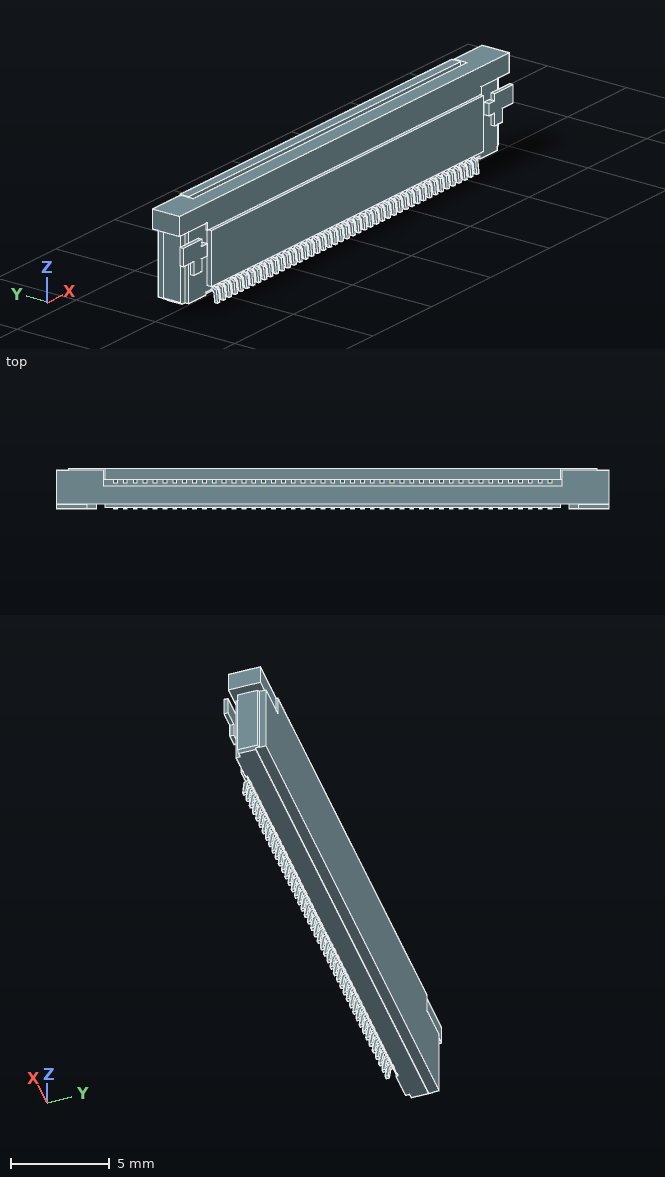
import cadquery as cq

TOTAL_LENGTH = 28.0
TOTAL_DEPTH = 2.05
TOTAL_HEIGHT = 5.6

BODY_FRONT = 0.35
BODY_BOTTOM = 0.53
FRONT_HALF_LENGTH = 13.1
REAR_HALF_LENGTH = 13.38
RIB_HALF_LENGTH = 13.5
RIB_FRONT = 0.55
RIB_REAR = 1.62
RIB_REAR_BEVEL = 0.08
RIB_BOTTOM_BEVEL = 0.15
REAR_RELIEF_FRONT = 1.48
REAR_RELIEF_HEIGHT = 0.05

CAP_FRONT = 0.238
CAP_REAR = 1.95
CAP_HEIGHT = 1.1
CAP_BOTTOM = TOTAL_HEIGHT - CAP_HEIGHT
APRON_DROP = 0.42
APRON_BOTTOM = CAP_BOTTOM - APRON_DROP

SLOT_HALF_LENGTH = 11.62
SLOT_FRONT = 1.15
TONGUE_FRONT = 1.48
TONGUE_HALF_LENGTH = 11.55
SLOT_DEPTH = 3.35
SLOT_FLOOR = TOTAL_HEIGHT - SLOT_DEPTH

PANEL_HALF_LENGTH = 11.55
PANEL_FRONT = 0.05
PANEL_BOTTOM = 1.05

CONTACT_COUNT = 45
CONTACT_ROW_LENGTH = 22.0
PITCH = CONTACT_ROW_LENGTH / (CONTACT_COUNT - 1)
CONTACT_WIDTH = 0.2
CONTACT_REACH = 0.17
CONTACT_TOP = 3.92
CONTACT_SLOPE = 0.42
LEAD_TOP = 0.8
LEAD_SHOULDER_DROP = 0.1
LEAD_THICKNESS = 0.17
LEAD_SHIFT = 0.07
LEAD_ROOT = 0.62
LEAD_NOTCH_REAR = 0.45
LEAD_NOTCH_TOP = 0.7

TAB_THICKNESS = 0.22
TAB_TOP = 3.92
TAB_EAR_BOTTOM = 2.9
TAB_FOOT_BOTTOM = 2.15
TAB_INNER = 12.43
NUB_INNER = 11.95
NUB_TOP = 3.53
NUB_BOTTOM = 2.85


def box(x_min, x_max, y_min, y_max, z_min, z_max):
    """Box given by its limits along each axis."""
    size = (x_max - x_min, y_max - y_min, z_max - z_min)
    return cq.Workplane("XY").box(*size, centered=False).translate((x_min, y_min, z_min))


def long_box(half_length, y_min, y_max, z_min, z_max):
    """Box centred on X = 0."""
    return box(-half_length, half_length, y_min, y_max, z_min, z_max)


def make_housing():
    """Housing with stepped, bevelled ends and a relieved rear underside."""
    rear_corner = RIB_REAR + RIB_REAR_BEVEL
    right_side = [
        (FRONT_HALF_LENGTH, BODY_FRONT),
        (FRONT_HALF_LENGTH, RIB_FRONT),
        (RIB_HALF_LENGTH, RIB_FRONT),
        (RIB_HALF_LENGTH, RIB_REAR),
        (REAR_HALF_LENGTH, rear_corner),
        (REAR_HALF_LENGTH, TOTAL_DEPTH),
    ]
    left_side = [(-x, y) for x, y in reversed(right_side)]
    housing = (
        cq.Workplane("XY")
        .workplane(offset=BODY_BOTTOM)
        .polyline(right_side + left_side)
        .close()
        .extrude(CAP_BOTTOM - BODY_BOTTOM)
    )
    housing = housing.faces("<X or >X").edges("<Z").chamfer(RIB_BOTTOM_BEVEL)
    relief_top = BODY_BOTTOM + REAR_RELIEF_HEIGHT
    return housing.cut(
        long_box(TOTAL_LENGTH / 2, REAR_RELIEF_FRONT, TOTAL_DEPTH, BODY_BOTTOM, relief_top)
    )


def make_cap():
    """Overhanging cap with a lower apron, as long as the slot, along its front."""
    bar = long_box(TOTAL_LENGTH / 2, CAP_FRONT, CAP_REAR, CAP_BOTTOM, TOTAL_HEIGHT)
    apron = long_box(SLOT_HALF_LENGTH, CAP_FRONT, BODY_FRONT, APRON_BOTTOM, CAP_BOTTOM)
    return bar.union(apron)


def cut_slot(block):
    """Open the cap at the rear, stand the tongue in the opening and sink the slot."""
    opening = long_box(SLOT_HALF_LENGTH, SLOT_FRONT, TOTAL_DEPTH, CAP_BOTTOM, TOTAL_HEIGHT)
    tongue = long_box(TONGUE_HALF_LENGTH, TONGUE_FRONT, TOTAL_DEPTH, CAP_BOTTOM, TOTAL_HEIGHT)
    slot = long_box(SLOT_HALF_LENGTH, SLOT_FRONT, TONGUE_FRONT, SLOT_FLOOR, TOTAL_HEIGHT)
    return block.cut(opening).union(tongue).cut(slot)


def make_panel():
    """Raised panel below the apron."""
    return long_box(PANEL_HALF_LENGTH, PANEL_FRONT, BODY_FRONT, PANEL_BOTTOM, APRON_BOTTOM)


def make_tab():
    """Left solder tab: ear, foot and a nub that anchors it in the housing."""
    plate = box(-TOTAL_LENGTH / 2, -TAB_INNER, 0, TAB_THICKNESS, TAB_EAR_BOTTOM, TAB_TOP)
    foot = box(-FRONT_HALF_LENGTH, -TAB_INNER, 0, TAB_THICKNESS, TAB_FOOT_BOTTOM, TAB_TOP)
    nub = box(-TAB_INNER, -NUB_INNER, 0, BODY_FRONT, NUB_BOTTOM, NUB_TOP)
    return plate.union(foot).union(nub)


def extrude_contact(profile):
    """Extrude a (Y, Z) profile over the contact width, centred on X = 0."""
    return cq.Workplane("YZ").polyline(profile).close().extrude(CONTACT_WIDTH / 2, both=True)


def make_contact():
    """Contact blade on the slot's rear wall, with a sloped top."""
    tip = TONGUE_FRONT - CONTACT_REACH
    return extrude_contact([
        (TONGUE_FRONT, SLOT_FLOOR),
        (TONGUE_FRONT, CONTACT_TOP),
        (tip, CONTACT_TOP - CONTACT_SLOPE),
        (tip, SLOT_FLOOR),
    ])


def make_lead():
    """Lead leaving the housing front, sloping down to a shoulder and leaning forward to its tip."""
    shoulder_top = LEAD_TOP - LEAD_SHOULDER_DROP
    return extrude_contact([
        (LEAD_ROOT, LEAD_TOP),
        (BODY_FRONT, LEAD_TOP),
        (LEAD_SHIFT, shoulder_top),
        (0, 0),
        (LEAD_THICKNESS, 0),
        (LEAD_SHIFT + LEAD_THICKNESS, shoulder_top - LEAD_THICKNESS),
        (BODY_FRONT, LEAD_TOP - LEAD_THICKNESS),
        (LEAD_ROOT, LEAD_TOP - LEAD_THICKNESS),
    ])


def repeat_along_pitch(shape):
    """One copy of the shape for every contact position."""
    first = -CONTACT_ROW_LENGTH / 2
    solid = shape.val()
    return [solid.translate(cq.Vector(first + i * PITCH, 0, 0)) for i in range(CONTACT_COUNT)]


lead_notch = long_box(SLOT_HALF_LENGTH, BODY_FRONT, LEAD_NOTCH_REAR, BODY_BOTTOM, LEAD_NOTCH_TOP)
left_tab = make_tab()
right_tab = left_tab.mirror("YZ")

block = cut_slot(make_housing().union(make_cap()))
block = block.union(make_panel()).cut(lead_notch).union(left_tab).union(right_tab)

contacts = repeat_along_pitch(make_contact()) + repeat_along_pitch(make_lead())
result = cq.Workplane("XY").newObject([block.val().fuse(*contacts)])